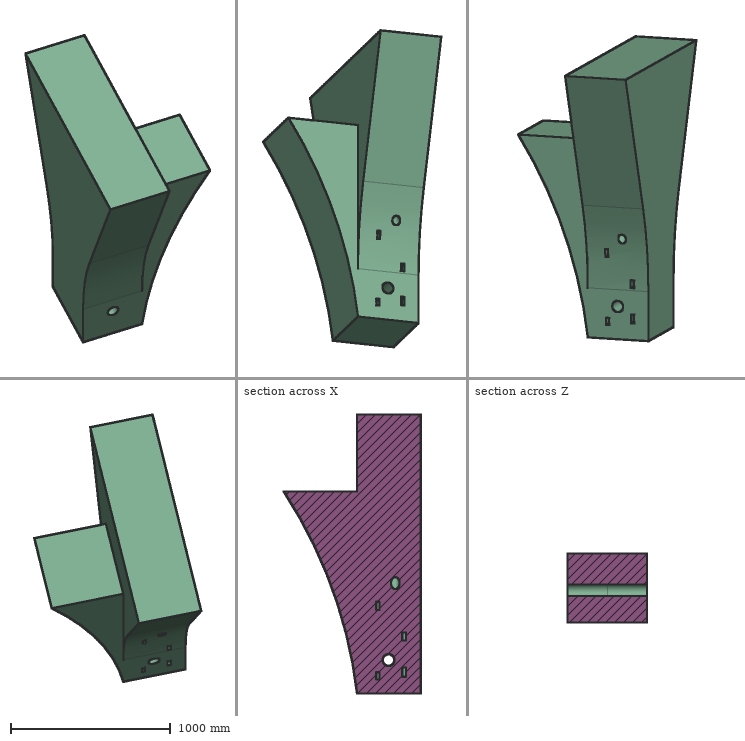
import cadquery as cq
import math

height = 1750.0
top_width = 1400.0
neck_width = 500.0
plate_depth = 400.0
neck_height = 317.0
flare_radius = 1500.0

total_depth = 861.0
haunch_height = 1267.0
haunch_radius = 2940.0

through_diameter = 72.0
through_y = 203.0
through_z = 210.0
bore_diameter = 50.0
bore_y = 161.0
bore_z = 650.0
bore_rise = 45.0
bore_depth = 175.0

pocket_depth = 52.0
pockets = [
    (270.0, 110.0, 20.0, 44.0),
    (270.0, 550.0, 20.0, 50.0),
    (105.0, 135.0, 23.0, 56.0),
    (105.0, 357.0, 23.0, 49.0),
]

half_neck = neck_width / 2
half_top = top_width / 2

flare_center_x = half_neck + flare_radius
corner_dx = flare_center_x - half_top
corner_dz = height - neck_height
corner_distance = math.hypot(corner_dx, corner_dz)
flare_angle = math.atan2(corner_dz, corner_dx) - math.acos(flare_radius / corner_distance)


def flare_point(angle):
    """Point on the +X flare arc at an angle above the neck."""
    x = flare_center_x - flare_radius * math.cos(angle)
    z = neck_height + flare_radius * math.sin(angle)
    return x, z


def flank_x(z):
    """Half width of the plate at a height on the neck or flare arc."""
    if z <= neck_height:
        return half_neck
    return flare_point(math.asin((z - neck_height) / flare_radius))[0]


def make_plate():
    middle = flare_point(flare_angle / 2)
    end = flare_point(flare_angle)
    return (
        cq.Workplane("XZ")
        .moveTo(-half_neck, 0)
        .lineTo(half_neck, 0)
        .lineTo(half_neck, neck_height)
        .threePointArc(middle, end)
        .lineTo(half_top, height)
        .lineTo(-half_top, height)
        .lineTo(-end[0], end[1])
        .threePointArc((-middle[0], middle[1]), (-half_neck, neck_height))
        .close()
        .extrude(-plate_depth)
    )


def make_haunch():
    reach = total_depth - plate_depth
    chord = math.hypot(reach, haunch_height)
    sag = haunch_radius - math.sqrt(haunch_radius**2 - (chord / 2) ** 2)
    middle = (
        plate_depth + reach / 2 - sag * haunch_height / chord,
        haunch_height / 2 + sag * reach / chord,
    )
    return (
        cq.Workplane("YZ")
        .moveTo(0, 0)
        .lineTo(plate_depth, 0)
        .threePointArc(middle, (total_depth, haunch_height))
        .lineTo(0, haunch_height)
        .close()
        .extrude(half_neck, both=True)
    )


def make_through_hole():
    return (
        cq.Workplane("YZ")
        .center(through_y, through_z)
        .circle(through_diameter / 2)
        .extrude(half_neck, both=True)
    )


def make_inclined_bore():
    rise = math.radians(bore_rise)
    axis = cq.Vector(math.cos(rise), 0, math.sin(rise))
    mouth = cq.Vector(-flank_x(bore_z), bore_y, bore_z)
    start = mouth - axis * bore_depth
    return cq.Solid.makeCylinder(bore_diameter / 2, 2 * bore_depth, start, axis)


def make_pocket(y, z, width, pocket_height):
    return cq.Workplane("XY").box(2 * pocket_depth, width, pocket_height).translate((-flank_x(z), y, z))


result = make_plate().union(make_haunch())
result = result.cut(make_through_hole()).cut(make_inclined_bore())
for pocket in pockets:
    result = result.cut(make_pocket(*pocket))